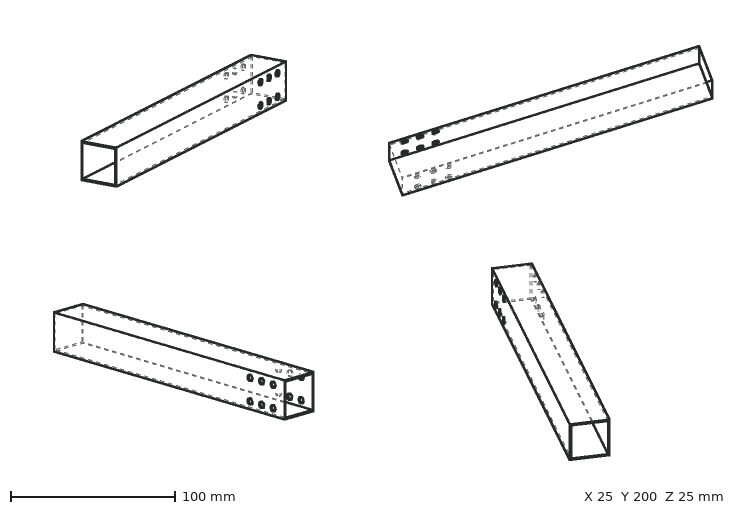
import cadquery as cq

length = 200.0
width = 25.0
wall = 1.0

hole_diameter = 4.0
hole_pitch = 10.0
holes_per_row = 3
row_spacing = 15.0
end_distance = 10.0


def square_tube():
    bore = width - 2 * wall
    outer = cq.Workplane("XY").box(width, length, width)
    return outer.cut(cq.Workplane("XY").box(bore, length, bore))


def cross_holes():
    centers = [
        (length / 2 - end_distance - index * hole_pitch, side * row_spacing / 2)
        for index in range(holes_per_row)
        for side in (-1, 1)
    ]
    return (
        cq.Workplane("YZ")
        .pushPoints(centers)
        .circle(hole_diameter / 2)
        .extrude(width, both=True)
    )


result = square_tube().cut(cross_holes())